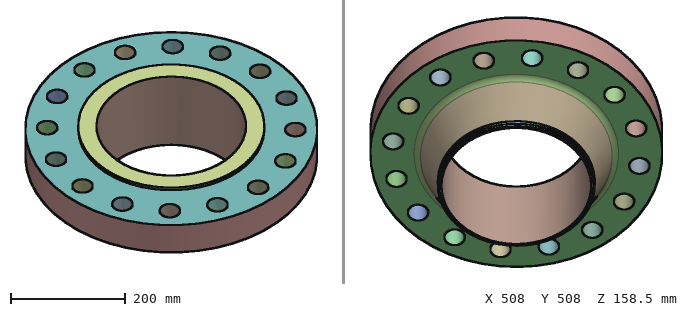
import cadquery as cq
import math

flange_diameter = 508.0
flange_thickness = 63.5
raised_face_diameter = 324.0
raised_face_height = 6.0
total_height = 158.5
bore_diameter = 260.0

weld_end_diameter = 273.5
hub_diameter = 340.0
weld_land_height = 10.5
weld_bevel_width = 2.5
weld_bevel_height = 3.5
hub_fillet_radius = 12.0

bolt_count = 16
bolt_circle_diameter = 432.0
bolt_hole_diameter = 35.5

raised_face_base = total_height - raised_face_height
flange_bottom = raised_face_base - flange_thickness

taper_run = (hub_diameter - weld_end_diameter) / 2
taper_rise = flange_bottom - weld_land_height
taper_slope_angle = math.atan2(taper_rise, taper_run)
fillet_tangent_length = hub_fillet_radius * math.tan(taper_slope_angle / 2)


def neck_profile_points():
    """Outer edge of the neck, from the weld end up to the fillet."""
    weld_radius = weld_end_diameter / 2
    return [
        (weld_radius - weld_bevel_width, 0),
        (weld_radius, weld_bevel_height),
        (weld_radius, weld_land_height),
    ]


def make_body():
    """Revolve the flange, raised face and tapered neck around Z."""
    bore_radius = bore_diameter / 2
    flange_radius = flange_diameter / 2
    raised_face_radius = raised_face_diameter / 2
    hub_radius = hub_diameter / 2
    fillet_start = (
        hub_radius - fillet_tangent_length * math.cos(taper_slope_angle),
        flange_bottom - fillet_tangent_length * math.sin(taper_slope_angle),
    )
    fillet_end = (hub_radius + fillet_tangent_length, flange_bottom)
    return (
        cq.Workplane("XZ")
        .moveTo(bore_radius, 0)
        .polyline(neck_profile_points(), includeCurrent=True)
        .lineTo(*fillet_start)
        .radiusArc(fillet_end, hub_fillet_radius)
        .lineTo(flange_radius, flange_bottom)
        .lineTo(flange_radius, raised_face_base)
        .lineTo(raised_face_radius, raised_face_base)
        .lineTo(raised_face_radius, total_height)
        .lineTo(bore_radius, total_height)
        .close()
        .revolve(360, (0, 0, 0), (0, 1, 0))
    )


def make_bolt_holes():
    """Through holes evenly spaced on the bolt circle, one on the +X axis."""
    return (
        cq.Workplane("XY")
        .polarArray(bolt_circle_diameter / 2, 0, 360, bolt_count)
        .circle(bolt_hole_diameter / 2)
        .extrude(total_height)
    )


result = make_body().cut(make_bolt_holes())